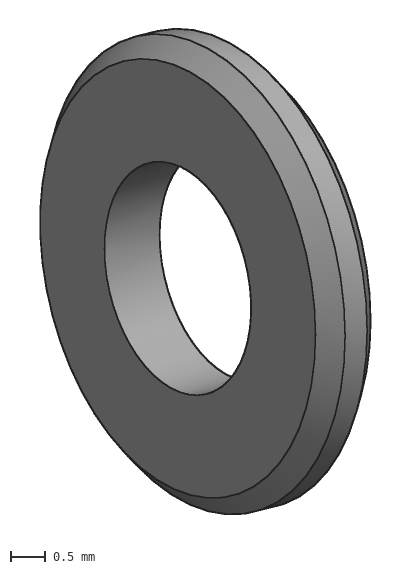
import cadquery as cq

outer_diameter = 7.0
hole_diameter = 3.4
thickness = 1.0
rim_chamfer = 0.3

disc = (
    cq.Workplane("XZ", origin=(0, thickness / 2, 0))
    .circle(outer_diameter / 2)
    .extrude(thickness)
    .edges("%CIRCLE")
    .chamfer(rim_chamfer)
)

result = disc.faces("<Y").workplane(origin=(0, 0, 0)).hole(hole_diameter)